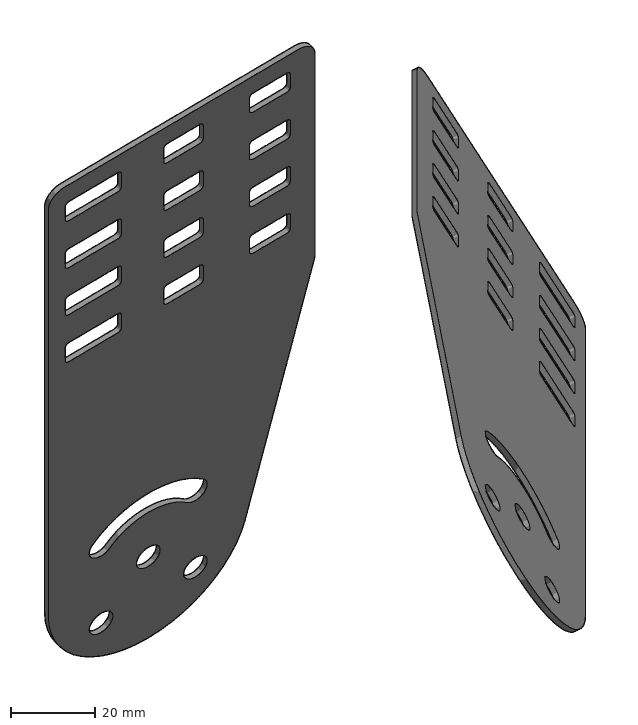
import cadquery as cq
import math

height = 185.0
width = 80.0
thickness = 1.5
end_radius = 30.0
top_corner_radius = 5.0
shoulder_z = 74.7

pivot_diameter = 7.0
bolt_diameter = 7.0
slot_width = 7.0
bolt_circle_radius = 20.0
spread_angle = 45.0

window_columns = [(36.5, 12.2), (10.5, 11.8), (-16.5, 16.8)]
window_height = 7.0
window_corner_radius = 1.1
window_rows = 4
row_pitch = 17.4
top_row_inset = 9.8

top_z = height - end_radius
near_y = -end_radius
far_y = near_y + width


def polar(radius, angle):
    """Point at an angle in degrees, measured from +Y toward +Z."""
    turn = math.radians(angle)
    return (radius * math.cos(turn), radius * math.sin(turn))


def make_plate():
    shoulder_distance = math.hypot(far_y, shoulder_z)
    shoulder_angle = math.degrees(math.atan2(shoulder_z, far_y))
    tangent_angle = shoulder_angle - math.degrees(math.acos(end_radius / shoulder_distance))
    plate = (
        cq.Workplane("YZ")
        .moveTo(near_y, 0)
        .lineTo(near_y, top_z)
        .lineTo(far_y, top_z)
        .lineTo(far_y, shoulder_z)
        .lineTo(*polar(end_radius, tangent_angle))
        .threePointArc((0, -end_radius), (near_y, 0))
        .close()
        .extrude(thickness)
    )
    return plate.edges("|X").edges(">Z").fillet(top_corner_radius)


def make_round_holes():
    pivot = cq.Workplane("YZ").circle(pivot_diameter / 2).extrude(thickness)
    bolt_centres = [polar(bolt_circle_radius, -90 + side * spread_angle) for side in (-1, 1)]
    bolts = cq.Workplane("YZ").pushPoints(bolt_centres).circle(bolt_diameter / 2).extrude(thickness)
    return pivot.union(bolts)


def make_curved_slot():
    inner_radius = bolt_circle_radius - slot_width / 2
    outer_radius = bolt_circle_radius + slot_width / 2
    start_angle = 90 - spread_angle
    end_angle = 90 + spread_angle
    cap_angle = math.degrees(2 * math.asin(slot_width / 4 / bolt_circle_radius))
    return (
        cq.Workplane("YZ")
        .moveTo(*polar(outer_radius, start_angle))
        .threePointArc((0, outer_radius), polar(outer_radius, end_angle))
        .threePointArc(polar(bolt_circle_radius, end_angle + cap_angle), polar(inner_radius, end_angle))
        .threePointArc((0, inner_radius), polar(inner_radius, start_angle))
        .threePointArc(polar(bolt_circle_radius, start_angle - cap_angle), polar(outer_radius, start_angle))
        .close()
        .extrude(thickness)
    )


def make_window_column(centre_y, window_width):
    first_row_z = top_z - top_row_inset
    centres = [(centre_y, first_row_z - row * row_pitch) for row in range(window_rows)]
    windows = cq.Workplane("YZ").pushPoints(centres).rect(window_width, window_height).extrude(thickness)
    return windows.edges("|X").fillet(window_corner_radius)


result = make_plate().cut(make_round_holes()).cut(make_curved_slot())
for column_y, column_width in window_columns:
    result = result.cut(make_window_column(column_y, column_width))